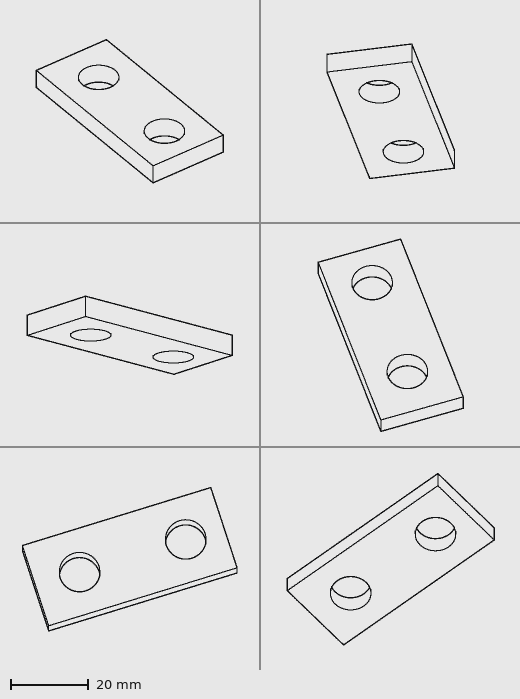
import cadquery as cq

length = 50.8
width = 22.35
thickness = 5.5

hole_diameter = 10.4
hole_spacing = 28.6
first_hole_from_end = 11.9

first_hole_x = first_hole_from_end - length / 2
hole_centres = [(first_hole_x, 0), (first_hole_x + hole_spacing, 0)]

plate = cq.Workplane("XY").box(length, width, thickness)
result = plate.faces(">Z").workplane().pushPoints(hole_centres).hole(hole_diameter)